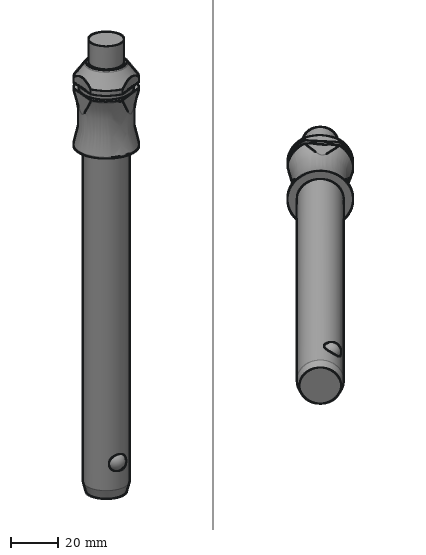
import cadquery as cq

total_length = 210.5
shaft_radius = 10.0
tip_radius = 8.8
tip_length = 4.5
button_radius = 7.5

handle_radius = 14.0
neck_radius = 11.8
flat_distance = 12.0
handle_bottom = 161.0
rim_height = 0.6
grip_top = 187.6
cap_bottom = 190.3
cone_bottom = 192.7
cap_top = 199.8
cap_top_radius = 9.3
cap_edge_chamfer = 0.6
waist_height = (handle_bottom + grip_top) / 2
flat_angles = (30, 150, 270)

ball_radius = 4.2
ball_height = 16.8
ball_reach = 12.6


def make_shaft():
    """Round shaft with a tapered tip, running up to the handle groove."""
    profile = (
        cq.Workplane("XZ")
        .lineTo(tip_radius, 0)
        .lineTo(shaft_radius, tip_length)
        .lineTo(shaft_radius, cap_bottom)
        .lineTo(0, cap_bottom)
        .close()
    )
    return profile.revolve(360, (0, 0, 0), (0, 1, 0))


def make_handle():
    """Waisted grip, groove and conical cap turned about the pin axis."""
    profile = (
        cq.Workplane("XZ")
        .moveTo(0, handle_bottom)
        .lineTo(handle_radius, handle_bottom)
        .lineTo(handle_radius, handle_bottom + rim_height)
        .threePointArc((neck_radius, waist_height), (handle_radius, grip_top - rim_height))
        .lineTo(handle_radius, grip_top)
        .lineTo(neck_radius, grip_top)
        .lineTo(neck_radius, cap_bottom)
        .lineTo(handle_radius, cap_bottom)
        .lineTo(handle_radius, cone_bottom)
        .lineTo(cap_top_radius, cap_top - cap_edge_chamfer)
        .lineTo(cap_top_radius - cap_edge_chamfer, cap_top)
        .lineTo(0, cap_top)
        .close()
    )
    return profile.revolve(360, (0, 0, 0), (0, 1, 0))


def cut_flats(handle):
    """Trim three equally spaced flats along the handle's upper half."""
    for angle in flat_angles:
        cutter = (
            cq.Workplane("XY", origin=(0, 0, waist_height))
            .box(handle_radius, 2 * handle_radius, cap_top - waist_height, centered=(False, True, False))
            .translate((flat_distance, 0, 0))
            .rotate((0, 0, 0), (0, 0, 1), angle)
        )
        handle = handle.cut(cutter)
    return handle


def make_button():
    """Push button passing through the cap to the top of the pin."""
    return (
        cq.Workplane("XY", origin=(0, 0, cap_bottom))
        .circle(button_radius)
        .extrude(total_length - cap_bottom)
    )


def make_ball(side):
    """Locking ball standing out from the shaft on the given X side."""
    center = side * (ball_reach - ball_radius)
    return cq.Workplane("XY").sphere(ball_radius).translate((center, 0, ball_height))


result = make_shaft().union(cut_flats(make_handle())).union(make_button())
for side in (-1, 1):
    result = result.union(make_ball(side))